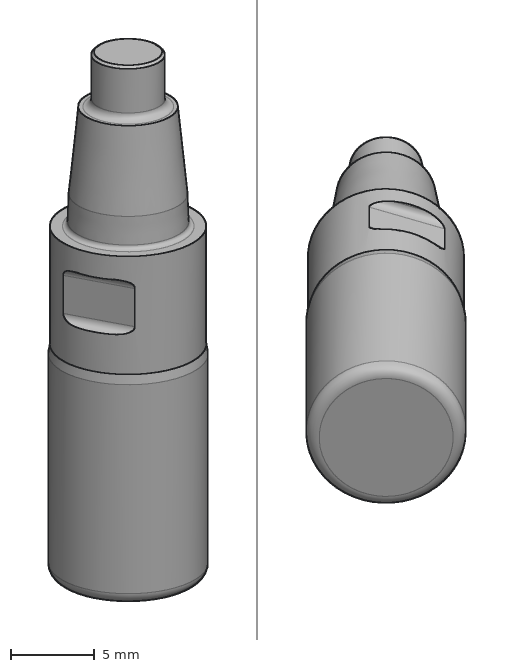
import cadquery as cq
import math

SLEEVE_RADIUS = 4.75
SLEEVE_TOP_Z = 14.9
SLEEVE_TAPER_HEIGHT = 0.6
SLEEVE_BOTTOM_FILLET = 0.78

COLLAR_RADIUS = 4.65
COLLAR_TOP_Z = 22.55
NOSE_BASE_RADIUS = 3.6
NOSE_BASE_FILLET = 0.3
NOSE_BREAK_RADIUS = 3.55
NOSE_BREAK_Z = 24.67
NOSE_TOP_RADIUS = 2.97
NOSE_TOP_Z = 30.3
PIN_RADIUS = 2.2
PIN_BASE_FILLET = 0.5
PIN_TOP_Z = 33.8
PIN_CHAMFER = 0.17

FLAT_DISTANCE = 4.02
FLAT_CENTER_Z = 19.23
FLAT_NOTCH_HEIGHT = 3.55
FLAT_FILLET = 0.55


def concave_fillet(profile, wall_radius, floor_z, fillet_radius):
    """Draw a quarter-round from a floor up to a vertical wall."""
    mid_offset = fillet_radius * (1 - math.cos(math.pi / 4))
    return profile.lineTo(wall_radius + fillet_radius, floor_z).threePointArc(
        (wall_radius + mid_offset, floor_z + mid_offset),
        (wall_radius, floor_z + fillet_radius),
    )


def make_sleeve():
    """Round sleeve, narrowed to the collar at its top and rounded at its bottom."""
    profile = (
        cq.Workplane("XZ")
        .lineTo(SLEEVE_RADIUS, 0)
        .lineTo(SLEEVE_RADIUS, SLEEVE_TOP_Z - SLEEVE_TAPER_HEIGHT)
        .lineTo(COLLAR_RADIUS, SLEEVE_TOP_Z)
        .lineTo(0, SLEEVE_TOP_Z)
        .close()
    )
    return profile.revolve(360, (0, 0), (0, 1)).faces("<Z").edges().fillet(SLEEVE_BOTTOM_FILLET)


def make_stem_blank():
    """Turned stem before the wrench flats are cut."""
    profile = (
        cq.Workplane("XZ")
        .moveTo(0, SLEEVE_TOP_Z)
        .lineTo(COLLAR_RADIUS, SLEEVE_TOP_Z)
        .lineTo(COLLAR_RADIUS, COLLAR_TOP_Z)
    )
    profile = concave_fillet(profile, NOSE_BASE_RADIUS, COLLAR_TOP_Z, NOSE_BASE_FILLET)
    profile = profile.lineTo(NOSE_BREAK_RADIUS, NOSE_BREAK_Z).lineTo(NOSE_TOP_RADIUS, NOSE_TOP_Z)
    profile = concave_fillet(profile, PIN_RADIUS, NOSE_TOP_Z, PIN_BASE_FILLET)
    profile = (
        profile.lineTo(PIN_RADIUS, PIN_TOP_Z - PIN_CHAMFER)
        .lineTo(PIN_RADIUS - PIN_CHAMFER, PIN_TOP_Z)
        .lineTo(0, PIN_TOP_Z)
        .close()
    )
    return profile.revolve(360, (0, 0), (0, 1))


def make_flat_cutter(side):
    """Block that cuts one wrench flat; side is -1 or +1 along Y."""
    cutter_depth = COLLAR_RADIUS
    inner_edges = "<Y" if side > 0 else ">Y"
    return (
        cq.Workplane("XY")
        .box(2 * COLLAR_RADIUS, cutter_depth, FLAT_NOTCH_HEIGHT)
        .faces(inner_edges)
        .edges("|X")
        .fillet(FLAT_FILLET)
        .translate((0, side * (FLAT_DISTANCE + cutter_depth / 2), FLAT_CENTER_Z))
    )


def make_stem():
    """Complete stem with both wrench flats."""
    stem = make_stem_blank()
    for side in (-1, 1):
        stem = stem.cut(make_flat_cutter(side))
    return stem


sleeve = make_sleeve()
stem = make_stem()
result = cq.Compound.makeCompound([sleeve.val(), *stem.vals()])